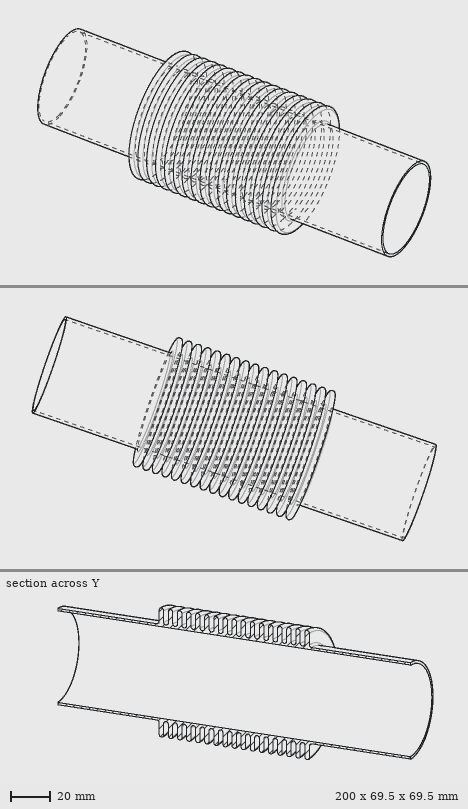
import cadquery as cq

length = 200.0
pipe_diameter = 52.0
bore_diameter = 49.0
bellows_diameter = 69.5
ridge_count = 17
crest_radius = 1.5
root_radius = 1.18

pitch = 2 * (crest_radius + root_radius)
pipe_radius = pipe_diameter / 2
bellows_radius = bellows_diameter / 2
root_top = pipe_radius + root_radius
crest_base = bellows_radius - crest_radius
first_ridge = -pitch * (ridge_count - 1) / 2


def ridge_profile(center):
    """Half section of one ridge: flared root, straight flanks, full-round crest."""
    root_offset = crest_radius + root_radius
    return (
        cq.Workplane("XY")
        .moveTo(center - root_offset, bore_diameter / 2)
        .lineTo(center - root_offset, pipe_radius)
        .radiusArc((center - crest_radius, root_top), -root_radius)
        .lineTo(center - crest_radius, crest_base)
        .threePointArc((center, bellows_radius), (center + crest_radius, crest_base))
        .lineTo(center + crest_radius, root_top)
        .radiusArc((center + root_offset, pipe_radius), -root_radius)
        .lineTo(center + root_offset, bore_diameter / 2)
        .close()
    )


def make_ridge(center):
    return ridge_profile(center).revolve(360, (0, 0, 0), (1, 0, 0))


result = (
    cq.Workplane("YZ")
    .workplane(offset=-length / 2)
    .circle(pipe_radius)
    .circle(bore_diameter / 2)
    .extrude(length)
)

for index in range(ridge_count):
    result = result.union(make_ridge(first_ridge + index * pitch))